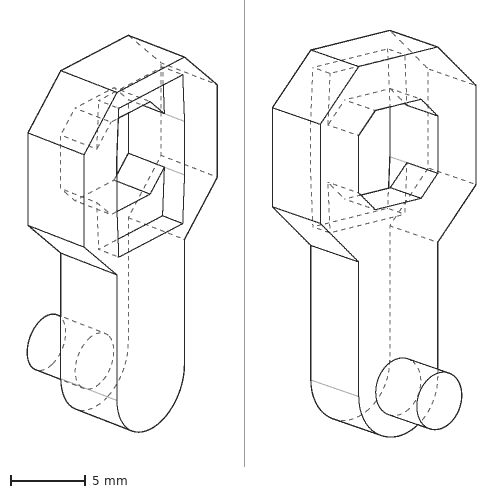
import cadquery as cq

total_height = 26.8
total_depth = 9.3
thickness = 5.0
head_width = 13.8
arm_width = 7.0
hole_width = 7.0
hole_corner = 1.47
pin_diameter = 4.0
hole_depth = 3.22
pocket_height = 11.25
pocket_inset = 0.2

pin_length = total_depth - thickness
arm_radius = arm_width / 2
head_corner = (head_width - arm_width) / 2
pin_z = arm_radius
head_z = total_height - head_width / 2
hole_flat = hole_width - 2 * hole_corner


def eight_sided_prism(width, corner):
    """Square prism around the head axis with its four long edges cut at 45 degrees."""
    return (
        cq.Workplane("YZ")
        .center(0, head_z)
        .rect(width, width)
        .extrude(thickness)
        .edges("|X")
        .chamfer(corner)
    )


arm = (
    cq.Workplane("YZ")
    .moveTo(-arm_radius, head_z)
    .lineTo(-arm_radius, pin_z)
    .threePointArc((0, pin_z - arm_radius), (arm_radius, pin_z))
    .lineTo(arm_radius, head_z)
    .close()
    .extrude(thickness)
)

pin = cq.Workplane("YZ").center(0, pin_z).circle(pin_diameter / 2).extrude(-pin_length)

head = eight_sided_prism(head_width, head_corner)
hole = eight_sided_prism(hole_width, hole_corner)

side_y = hole_width / 2
end_y = side_y - pocket_inset
flat_z = hole_flat / 2
end_z = pocket_height / 2
pocket = (
    cq.Workplane("YZ", origin=(hole_depth, 0, head_z))
    .polyline([
        (-side_y, -flat_z),
        (-end_y, -end_z),
        (end_y, -end_z),
        (side_y, -flat_z),
        (side_y, flat_z),
        (end_y, end_z),
        (-end_y, end_z),
        (-side_y, flat_z),
    ])
    .close()
    .extrude(thickness - hole_depth)
)

result = arm.union(head).cut(hole).cut(pocket).union(pin)